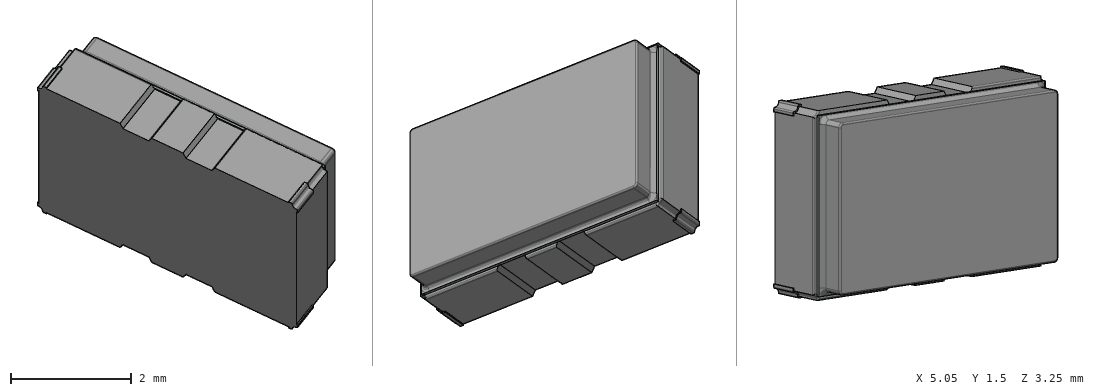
import cadquery as cq
import math

overall_length = 5.05
overall_depth = 1.5
overall_width = 3.25

pad_thickness = 0.025
pad_height = 0.5
pad_reach = 0.15

body_length = overall_length - 2 * pad_thickness
body_width = overall_width - 2 * pad_thickness
body_height = 1.0
body_edge_radius = 0.03
corner_scoop_radius = 0.1

notch_spacing = 1.22
notch_floor_width = 0.5
notch_depth = 0.1
notch_flank_angle = 60.0

flange_inset = 0.075
flange_length = body_length - 2 * flange_inset
flange_width = body_width - 2 * flange_inset
flange_thickness = 0.05
lid_inset = 0.15
lid_length = body_length - 2 * lid_inset
lid_width = body_width - 2 * lid_inset
lid_corner_radius = 0.075
lid_edge_radius = 0.03
cove_radius = 0.085

match_tolerance = 5.05e-05


def plane_at(y):
    """Sketch plane facing +Y: local x is -X, local y is +Z."""
    return cq.Workplane(cq.Plane(origin=(0, y, 0), xDir=(-1, 0, 0), normal=(0, 1, 0)))


def scooped_outline():
    """Body rectangle with a concave quarter circle at each corner."""
    x = body_length / 2
    z = body_width / 2
    r = corner_scoop_radius
    mid = r * math.sqrt(0.5)
    return (
        plane_at(0)
        .moveTo(-x + r, -z)
        .lineTo(x - r, -z)
        .threePointArc((x - mid, -z + mid), (x, -z + r))
        .lineTo(x, z - r)
        .threePointArc((x - mid, z - mid), (x - r, z))
        .lineTo(-x + r, z)
        .threePointArc((-x + mid, z - mid), (-x, z - r))
        .lineTo(-x, -z + r)
        .threePointArc((-x + mid, -z + mid), (-x + r, -z))
        .close()
    )


def make_notch(x_center, side):
    """Trapezoid cutter that widens toward the long side (side = +1 or -1 in Z)."""
    floor_half = notch_floor_width / 2
    mouth_half = floor_half + notch_depth / math.tan(math.radians(notch_flank_angle))
    mouth_z = side * body_width / 2
    floor_z = side * (body_width / 2 - notch_depth)
    return (
        plane_at(0)
        .polyline([
            (x_center - mouth_half, mouth_z),
            (x_center - floor_half, floor_z),
            (x_center + floor_half, floor_z),
            (x_center + mouth_half, mouth_z),
        ])
        .close()
        .extrude(body_height)
    )


def is_rounded_rim(edge):
    """Rounded rim edges: both ends, all four corners, the -Z side, and +Z left of its notches."""
    center = edge.Center()
    left_of_notches = center.x < -notch_spacing
    at_right_end = center.x > body_length / 2 - corner_scoop_radius
    on_minus_z_side = abs(center.z + body_width / 2) < match_tolerance
    return left_of_notches or at_right_end or on_minus_z_side


def make_body():
    body = scooped_outline().extrude(body_height)
    for side in (-1, 1):
        for x_center in (-notch_spacing / 2, notch_spacing / 2):
            body = body.cut(make_notch(x_center, side))
    rim = [edge for edge in body.faces(">Y").edges().vals() if is_rounded_rim(edge)]
    return body.newObject(rim).fillet(body_edge_radius)


def make_pads():
    """Thin plating that wraps the four scooped corners next to the base."""
    shell = scooped_outline().offset2D(pad_thickness, "arc").extrude(pad_height)
    block = 2 * (pad_reach + pad_thickness)
    corners = (
        plane_at(0)
        .rect(overall_length, overall_width, forConstruction=True)
        .vertices()
        .rect(block, block)
        .extrude(pad_height)
    )
    return shell.intersect(corners)


def make_lid():
    """Lid on its seal flange, with a cove around the foot of the lid trimmed to the flange."""
    flange_top = body_height + flange_thickness
    cove_room = 2 * cove_radius
    base = (
        plane_at(body_height)
        .rect(lid_length + 2 * cove_room, lid_width + 2 * cove_room)
        .extrude(flange_thickness)
    )
    lid = (
        plane_at(flange_top)
        .rect(lid_length, lid_width)
        .extrude(overall_depth - flange_top)
        .edges("|Y")
        .fillet(lid_corner_radius)
        .faces(">Y")
        .edges()
        .fillet(lid_edge_radius)
    )
    foot_centers = [edge.Center() for edge in lid.faces("<Y").edges().vals()]
    capped = base.union(lid)
    foot_edges = [
        edge for edge in capped.edges().vals()
        if any((edge.Center() - center).Length < match_tolerance for center in foot_centers)
    ]
    flange_space = (
        plane_at(body_height)
        .rect(flange_length, flange_width)
        .extrude(overall_depth - body_height)
    )
    return capped.newObject(foot_edges).fillet(cove_radius).intersect(flange_space)


result = make_body().union(make_pads()).union(make_lid())